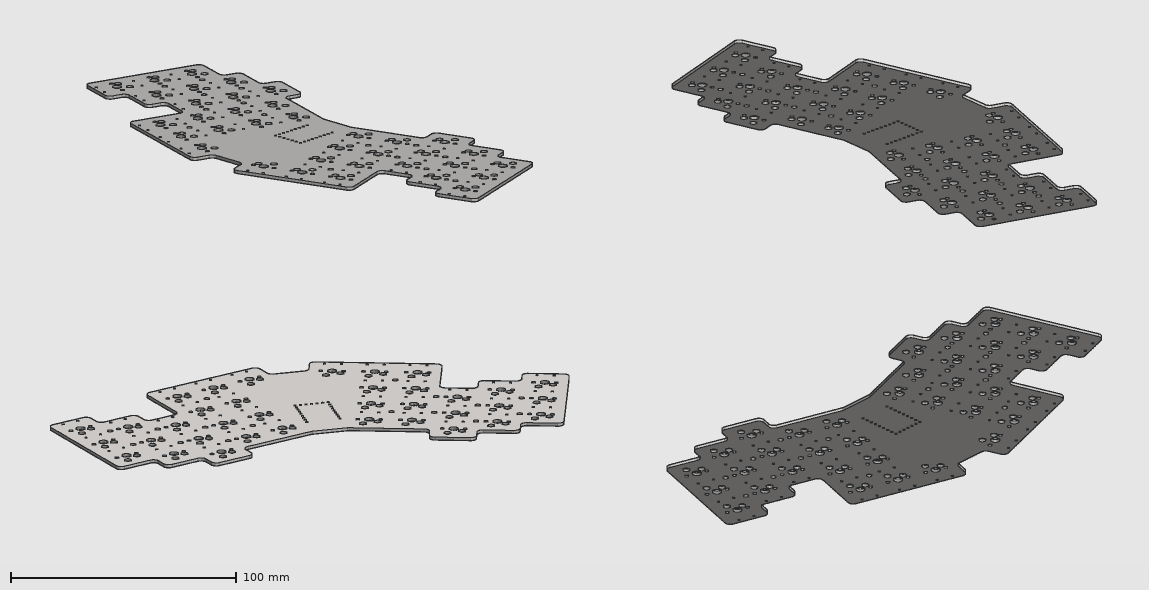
import cadquery as cq
import math


plate_width = 238.5
thickness = 1.5
edge_margin = 1.0
corner_radius = 2.6
bridge_top = 27.2
bridge_bottom = -43.5

half_tilt = 17.5
inner_column_height = 57.0
key_pitch = inner_column_height / 3
cell_half = key_pitch / 2 + edge_margin
first_key_y = 33.6
columns = [
    (0, [0, 1, 2]),
    (0.5, [0, 1, 2]),
    (1, [0, 1, 2]),
    (0.5, [0, 1, 2, 3]),
    (0.5, [0, 1, 2, 3]),
    (0.5, [3]),
]

inner_column = 3
thumb_column = 5
last_outer_row = 2

controller_width = 15.3
controller_top = 15.7
bottom_pin_count = 7
side_pin_count = 9
pin_pitch = controller_width / (bottom_pin_count - 1)

stem_diameter = 4.0
contact_diameter = 3.0
screw_diameter = 2.5
peg_diameter = 1.7
lead_diameter = 1.0

contact_offsets = [(-1.5 * pin_pitch, pin_pitch), (pin_pitch, 2 * pin_pitch)]
peg_offsets = [(-2 * pin_pitch, 0), (2 * pin_pitch, 0)]
diode_edge_distance = 2.03
diode_row = diode_edge_distance - cell_half
diode_offsets = [(-1.5 * pin_pitch, diode_row), (1.5 * pin_pitch, diode_row)]

left_screws_beside_keys = [(0, 0), (0, 1), (1, 0), (1, 1), (2, 1), (2, 2)]
right_screws_beside_keys = [(1, 1), (1, 2), (2, 1), (2, 2), (3, 0), (3, 1)]
screws_between_columns = [((3, 0), (4, 1)), ((3, 2), (3, 3), (4, 2), (4, 3))]

tilt_cos = math.cos(math.radians(half_tilt))
tilt_sin = math.sin(math.radians(half_tilt))

rounding_along = corner_radius - cell_half
rounding_across = rounding_along - last_outer_row * key_pitch
first_key_x = corner_radius - plate_width / 2 - rounding_along * tilt_cos - rounding_across * tilt_sin


def tilted(point, side=-1):
    """Turn an offset along the key rows and columns of one half (left -1, right 1) into X, Y."""
    along, across = point
    x = along * tilt_cos - side * across * tilt_sin
    y = side * along * tilt_sin + across * tilt_cos
    return x, y


def mirrored(point):
    return -point[0], point[1]


def key_in_half(column, row):
    """Key centre along the rows and columns of the left half."""
    stagger = columns[column][0]
    return column * key_pitch, (stagger - row) * key_pitch


def left_point(along, across):
    x, y = tilted((along, across))
    return first_key_x + x, first_key_y + y


def key_center(column, row, side):
    center = left_point(*key_in_half(column, row))
    return center if side < 0 else mirrored(center)


def beside(center, offsets, side):
    """Points at offsets that turn with the half they are in."""
    turned = [tilted(offset, side) for offset in offsets]
    return [(center[0] + x, center[1] + y) for x, y in turned]


def cell_left(column):
    return column * key_pitch - cell_half


def cell_right(column):
    return column * key_pitch + cell_half


def cell_top(column):
    return key_in_half(column, columns[column][1][0])[1] + cell_half


def cell_bottom(column):
    return key_in_half(column, columns[column][1][-1])[1] - cell_half


def left_outline():
    """Left half of the outline, from the top of the bridge round to its bottom."""
    inner_top = cell_top(inner_column)
    bridge_rise = bridge_top - first_key_y
    top_end = (inner_top * tilt_cos - bridge_rise) / tilt_sin
    thumb_right = cell_right(thumb_column)
    bridge_drop = first_key_y - bridge_bottom
    thumb_end = (thumb_right * tilt_sin - bridge_drop) / tilt_cos
    corners = [
        (top_end, inner_top),
        (cell_right(2), inner_top),
        (cell_right(2), cell_top(2)),
        (cell_left(2), cell_top(2)),
        (cell_left(2), cell_top(1)),
        (cell_left(1), cell_top(1)),
        (cell_left(1), cell_top(0)),
        (cell_left(0), cell_top(0)),
        (cell_left(0), cell_bottom(0)),
        (cell_right(0), cell_bottom(0)),
        (cell_right(0), cell_bottom(1)),
        (cell_right(1), cell_bottom(1)),
        (cell_right(1), cell_bottom(2)),
        (cell_left(inner_column), cell_bottom(2)),
        (cell_left(inner_column), cell_bottom(inner_column)),
        (thumb_right, cell_bottom(thumb_column)),
        (thumb_right, thumb_end),
    ]
    return [left_point(*corner) for corner in corners]


def make_plate():
    left = left_outline()
    right = [mirrored(point) for point in reversed(left)]
    plate = cq.Workplane("XY").polyline(left + right).close().extrude(thickness / 2, both=True)
    return plate.edges("|Z").fillet(corner_radius)


def cut_holes(plate, centers, diameter):
    holes = (
        cq.Workplane("XY")
        .pushPoints(centers)
        .circle(diameter / 2)
        .extrude(thickness, both=True)
    )
    return plate.cut(holes)


def controller_pins():
    bottom_y = controller_top - (side_pin_count - 1) * pin_pitch
    half_width = controller_width / 2
    pins = [(i * pin_pitch - half_width, bottom_y) for i in range(bottom_pin_count)]
    for i in range(1, side_pin_count):
        pins.append((-half_width, bottom_y + i * pin_pitch))
        pins.append((half_width, bottom_y + i * pin_pitch))
    return pins


def screw_centers(side, beside_keys):
    """Screws midway to the next key along a row, and in the middle of groups of keys."""
    centers = []
    for column, row in beside_keys:
        centers += beside(key_center(column, row, side), [(key_pitch / 2, 0)], side)
    for group in screws_between_columns:
        keys = [key_center(column, row, side) for column, row in group]
        centers.append(tuple(sum(values) / len(keys) for values in zip(*keys)))
    return centers


stems = []
contacts = []
pegs = []
leads = controller_pins()
for side in (-1, 1):
    for column, (_, rows) in enumerate(columns):
        for row in rows:
            center = key_center(column, row, side)
            stems.append(center)
            contacts += beside(center, contact_offsets, side)
            pegs += beside(center, peg_offsets, side)
            leads += beside(center, diode_offsets, side)
screws = screw_centers(-1, left_screws_beside_keys) + screw_centers(1, right_screws_beside_keys)

result = make_plate()
result = cut_holes(result, stems, stem_diameter)
result = cut_holes(result, contacts, contact_diameter)
result = cut_holes(result, pegs, peg_diameter)
result = cut_holes(result, screws, screw_diameter)
result = cut_holes(result, leads, lead_diameter)